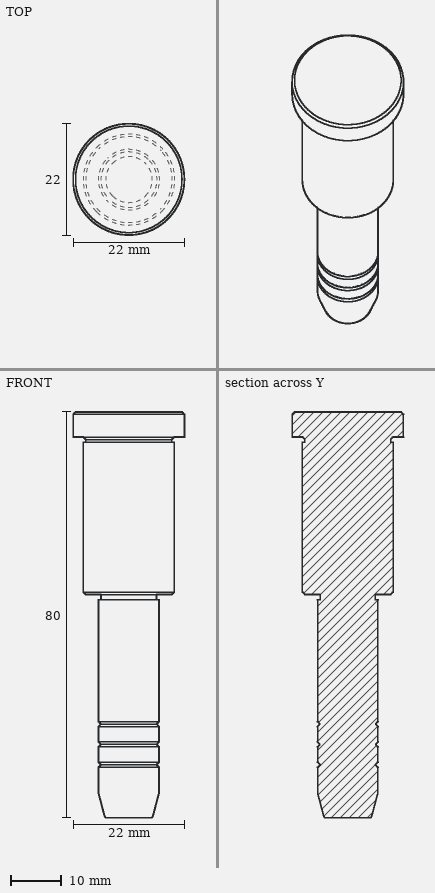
import cadquery as cq

total_length = 80.0
head_height = 5.0
shoulder_depth = 36.0
taper_height = 5.0

head_radius = 22.0 / 2
sleeve_radius = 18.0 / 2
pin_radius = 12.0 / 2
tip_radius = 4.8
tip_bottom_radius = 4.6

edge = 0.5
relief_width = 2 * edge
tip_chamfer_height = 0.4
lowest_groove_height = 10.5
groove_pitch = 4.0
groove_count = 3

head_bottom = total_length - head_height
sleeve_bottom = total_length - shoulder_depth
sleeve_top = head_bottom - relief_width
pin_top = sleeve_bottom - relief_width


def revolve_profile(points):
    """Turn a closed (radius, height) outline about the Z axis."""
    outline = cq.Workplane("XZ").polyline(points).close()
    return outline.revolve(360, (0, 0), (0, 1))


def stepped_body():
    """Head, sleeve and tapered pin with their relief necks."""
    return revolve_profile([
        (0, 0),
        (tip_bottom_radius, 0),
        (tip_radius, tip_chamfer_height),
        (pin_radius, taper_height),
        (pin_radius, pin_top),
        (pin_radius - edge, pin_top),
        (pin_radius - edge, sleeve_bottom),
        (sleeve_radius - edge, sleeve_bottom),
        (sleeve_radius, sleeve_bottom + edge),
        (sleeve_radius, sleeve_top),
        (sleeve_radius - edge, sleeve_top),
        (sleeve_radius - edge, head_bottom - edge),
        (sleeve_radius, head_bottom),
        (head_radius, head_bottom),
        (head_radius, total_length - edge),
        (head_radius - edge, total_length),
        (0, total_length),
    ])


def v_groove(height):
    """Ring with a 90 degree V section, centred at the given height."""
    return revolve_profile([
        (pin_radius - edge, height),
        (pin_radius + edge, height - 2 * edge),
        (pin_radius + edge, height + 2 * edge),
    ])


result = stepped_body()
for index in range(groove_count):
    result = result.cut(v_groove(lowest_groove_height + index * groove_pitch))